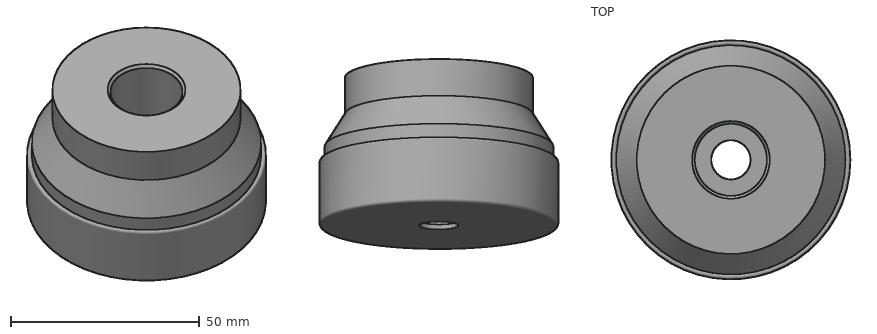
import cadquery as cq

cup_diameter = 63.5
total_height = 40.0

cup_height = 17.5
wall_thickness = 1.35
cup_bottom_radius = 0.75
floor_hole_diameter = 10.35

belt_top = 21.35
neck_diameter = 50.0
neck_height = 10.0
bore_diameter = 19.1
bore_chamfer = 0.75

cup_radius = cup_diameter / 2
insert_radius = cup_radius - wall_thickness
floor_top = wall_thickness


def revolve_about_z(profile):
    """Turn a closed XZ profile into a full solid of revolution."""
    return profile.revolve(360, (0, 0, 0), (0, 1, 0))


def make_cup():
    """Shallow cup whose rim is a half round as wide as the wall."""
    hole_radius = floor_hole_diameter / 2
    rim_radius = wall_thickness / 2
    rim_start = cup_height - rim_radius
    profile = (
        cq.Workplane("XZ")
        .moveTo(hole_radius, 0)
        .lineTo(cup_radius, 0)
        .lineTo(cup_radius, rim_start)
        .threePointArc((cup_radius - rim_radius, cup_height), (insert_radius, rim_start))
        .lineTo(insert_radius, floor_top)
        .lineTo(hole_radius, floor_top)
        .close()
    )
    cup = revolve_about_z(profile)
    outer_bottom_edge = cq.selectors.RadiusNthSelector(-1)
    return cup.faces("<Z").edges(outer_bottom_edge).fillet(cup_bottom_radius)


def make_insert():
    """Stepped, tapered body standing on the cup floor, with a chamfered bore."""
    bore_radius = bore_diameter / 2
    neck_radius = neck_diameter / 2
    neck_bottom = total_height - neck_height
    profile = (
        cq.Workplane("XZ")
        .moveTo(bore_radius, floor_top)
        .lineTo(insert_radius, floor_top)
        .lineTo(insert_radius, belt_top)
        .lineTo(neck_radius, neck_bottom)
        .lineTo(neck_radius, total_height)
        .lineTo(bore_radius + bore_chamfer, total_height)
        .lineTo(bore_radius, total_height - bore_chamfer)
        .close()
    )
    return revolve_about_z(profile)


cup = make_cup()
insert = make_insert()

result = cq.Compound.makeCompound([cup.val(), insert.val()])